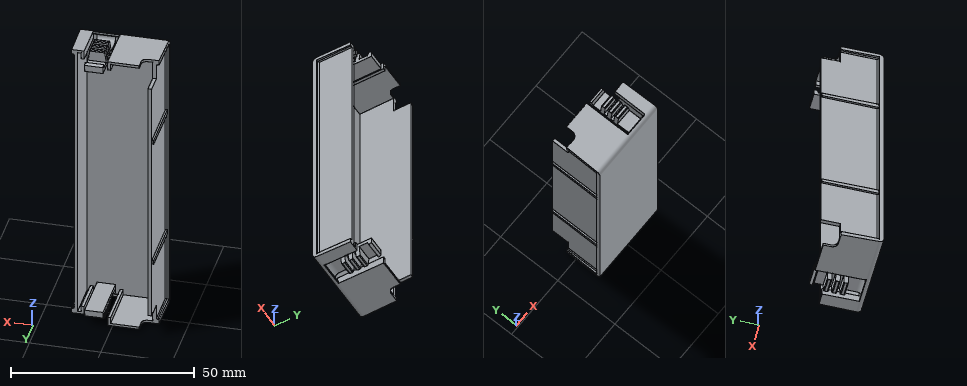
import cadquery as cq

width = 24.9
half_width = width / 2
side_draft = 0.215
total_length = 86.0
rib_protrusion = 0.7
half_length = total_length / 2 - rib_protrusion
front_thickness = 1.3
front_radius = 1.55
end_thickness = 0.8
end_flare = 0.215
shoulder_depth = 12.0
tongue_depth = 15.9

tongue_left = -7.65
slot_left = 1.2
slot_right = 8.7
notch_radius = 1.55
guard_thickness = 0.9
guard_bottom = 39.9

rim_height = 1.3
wall_inset = 0.95
wall_thickness = 1.0
bevel_depth = 0.35
front_bevel = 0.4
end_bevel = 0.3
wall_outer = half_width - wall_inset
wall_inner = wall_outer - wall_thickness
tall_wall_depth = 17.55
tall_wall_half_length = 36.55

wall_rib_height = 0.5
wall_rib_root_width = 1.5
wall_rib_tip_width = 1.1
wall_rib_z = 19.35
wall_rib_depth = 17.4

finger_left = 2.5
finger_right = 7.65
finger_top = 39.7
finger_bottom = 38.5
foot_radius = 1.4
hook_front = 14.6
hook_peak = 15.1
hook_top = 40.9
hook_rear_top = 40.4

grip_count = 3
grip_pitch = 2.3
grip_first_y = 6.1
grip_thickness = 1.3
grip_side_draft = 0.5
grip_edge_chamfer = 0.3


def box(x0, x1, y0, y1, z0, z1):
    """Axis-aligned box between two opposite corners."""
    return cq.Workplane("XY").box(x1 - x0, y1 - y0, z1 - z0, centered=False).translate((x0, y0, z0))


def extrude_yz(profile, x0, x1):
    """Extrude a YZ profile from x0 to x1."""
    return profile.extrude(x1 - x0).translate((x0, 0, 0))


def make_outer_block():
    """Block with flared ends and rounded front edges, trimmed to the end plate outline."""
    rear_half = half_length + end_flare
    side = (
        cq.Workplane("YZ")
        .moveTo(0, front_radius - half_length)
        .radiusArc((front_radius, -half_length), -front_radius)
        .lineTo(tongue_depth, -rear_half)
        .lineTo(tongue_depth, rear_half)
        .lineTo(front_radius, half_length)
        .radiusArc((0, half_length - front_radius), -front_radius)
        .close()
    )
    plan = (
        cq.Workplane("XY", origin=(0, 0, -total_length / 2))
        .moveTo(-half_width, 0)
        .lineTo(half_width, 0)
        .lineTo(half_width - side_draft, shoulder_depth)
        .lineTo(slot_right, shoulder_depth)
        .lineTo(slot_right, front_radius)
        .lineTo(slot_left, front_radius)
        .lineTo(slot_left, tongue_depth)
        .lineTo(tongue_left, tongue_depth)
        .lineTo(tongue_left, shoulder_depth + notch_radius)
        .radiusArc((tongue_left - notch_radius, shoulder_depth), notch_radius)
        .lineTo(side_draft - half_width, shoulder_depth)
        .close()
        .extrude(total_length)
    )
    return extrude_yz(side, -half_width, half_width).intersect(plan)


def make_cavity():
    """Interior, open to the rear, following the flare of the end plates."""
    front_half = half_length - end_thickness
    rear_half = front_half + end_flare
    profile = cq.Workplane("YZ").polyline([
        (front_thickness, -front_half),
        (tongue_depth, -rear_half),
        (tongue_depth, rear_half),
        (front_thickness, front_half),
    ]).close()
    return extrude_yz(profile, -wall_inner, wall_inner)


def make_side_pocket():
    """Bevelled recess on the -X side that leaves the rim around the wall."""
    mouth_half = half_length - rim_height
    floor_half = mouth_half - end_bevel
    floor_front = front_thickness + front_bevel

    def frame(plane, front, half):
        return plane.polyline([
            (front, -half),
            (tall_wall_depth, -half),
            (tall_wall_depth, half),
            (front, half),
        ]).close()

    ledge_depth = wall_inset - bevel_depth
    rim_face = cq.Workplane("YZ", origin=(-half_width, 0, 0))
    ledge = frame(rim_face, front_thickness, mouth_half).extrude(ledge_depth)
    bevel_mouth = frame(rim_face.workplane(offset=ledge_depth), front_thickness, mouth_half)
    bevel = frame(bevel_mouth.workplane(offset=bevel_depth), floor_front, floor_half).loft()
    return ledge.union(bevel)


def make_wall_rib(z_centre):
    """Tapered rib running front to rear on the tall wall."""
    root = wall_rib_root_width / 2
    tip = wall_rib_tip_width / 2
    profile = cq.Workplane("YZ").polyline([
        (front_thickness, z_centre - root),
        (wall_rib_depth, z_centre - tip),
        (wall_rib_depth, z_centre + tip),
        (front_thickness, z_centre + root),
    ]).close()
    return extrude_yz(profile, -wall_outer - wall_rib_height, -wall_inner)


def make_finger():
    """Latch finger with a filleted foot on the front plate and a hook at the rear."""
    foot_end = front_thickness + foot_radius
    profile = (
        cq.Workplane("YZ")
        .moveTo(front_thickness, finger_bottom)
        .lineTo(tongue_depth, finger_bottom)
        .lineTo(tongue_depth, hook_rear_top)
        .lineTo(hook_peak, hook_top)
        .lineTo(hook_front, finger_top)
        .lineTo(foot_end, finger_top)
        .radiusArc((front_thickness, finger_top + foot_radius), foot_radius)
        .close()
    )
    return extrude_yz(profile, finger_left, finger_right)


def make_grip_rib(y_front):
    """Grip rib with drafted ends and bevelled long top edges."""
    top = total_length / 2
    return (
        cq.Workplane("XZ")
        .polyline([
            (finger_left, finger_top),
            (finger_right, finger_top),
            (finger_right - grip_side_draft, top),
            (finger_left + grip_side_draft, top),
        ])
        .close()
        .extrude(-grip_thickness)
        .faces(">Z")
        .edges("|X")
        .chamfer(grip_edge_chamfer)
        .translate((0, y_front, 0))
    )


def make_end_details():
    """Finger, grip ribs and the guard walls beside the slot, at the +Z end."""
    guard_top = half_length - end_thickness / 2
    details = make_finger()
    for index in range(grip_count):
        details = details.union(make_grip_rib(grip_first_y + index * grip_pitch))
    left_guard = box(slot_left - guard_thickness, slot_left,
                     front_thickness, tongue_depth, guard_bottom, guard_top)
    right_guard = box(slot_right, slot_right + guard_thickness,
                      front_thickness, shoulder_depth, guard_bottom, guard_top)
    return details.union(left_guard).union(right_guard)


side_pocket = make_side_pocket()
shell = make_outer_block().cut(make_cavity()).cut(side_pocket).cut(side_pocket.mirror("YZ"))

tall_wall = box(-wall_outer, -wall_inner, front_thickness, tall_wall_depth,
                -tall_wall_half_length, tall_wall_half_length)
shell = shell.union(tall_wall)
for z_centre in (-wall_rib_z, wall_rib_z):
    shell = shell.union(make_wall_rib(z_centre))

end_details = make_end_details()
result = shell.union(end_details).union(end_details.mirror("XY"))